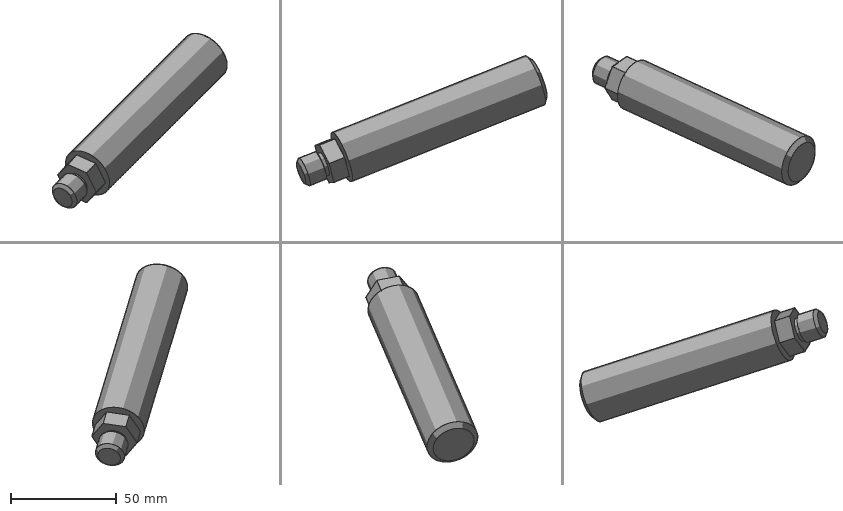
import cadquery as cq
import math

total_length = 123.0
grip_diameter = 25.0
grip_length = 102.0
grip_chamfer_length = 2.0
grip_chamfer_inset = 2.5

collar_diameter = 12.0
collar_length = 1.0

hex_across_flats = 19.0
hex_length = 8.0
hex_across_corners = hex_across_flats / math.cos(math.pi / 6)

undercut_diameter = 11.6
undercut_length = 2.0
stud_diameter = 14.0
stud_chamfer = 1.6
stud_length = total_length - grip_length - collar_length - hex_length - undercut_length

stud_start = -total_length / 2
undercut_start = stud_start + stud_length
hex_start = undercut_start + undercut_length
collar_start = hex_start + hex_length
grip_start = collar_start + collar_length


def plane_at(y):
    """Plane across the axis at station y, facing +Y, with its local x along X."""
    return cq.Workplane(cq.Plane(origin=(0, y, 0), xDir=(1, 0, 0), normal=(0, 1, 0)))


def cylinder(y, diameter, length):
    return plane_at(y).circle(diameter / 2).extrude(length)


stud = cylinder(stud_start, stud_diameter, stud_length).faces("<Y").chamfer(stud_chamfer)
undercut = cylinder(undercut_start, undercut_diameter, undercut_length)
hexagon = plane_at(hex_start).polygon(6, hex_across_corners).extrude(hex_length)
collar = cylinder(collar_start, collar_diameter, collar_length)
grip = cylinder(grip_start, grip_diameter, grip_length)
grip = grip.faces(">Y").chamfer(grip_chamfer_length, grip_chamfer_inset)

result = stud.union(undercut).union(hexagon).union(collar).union(grip)